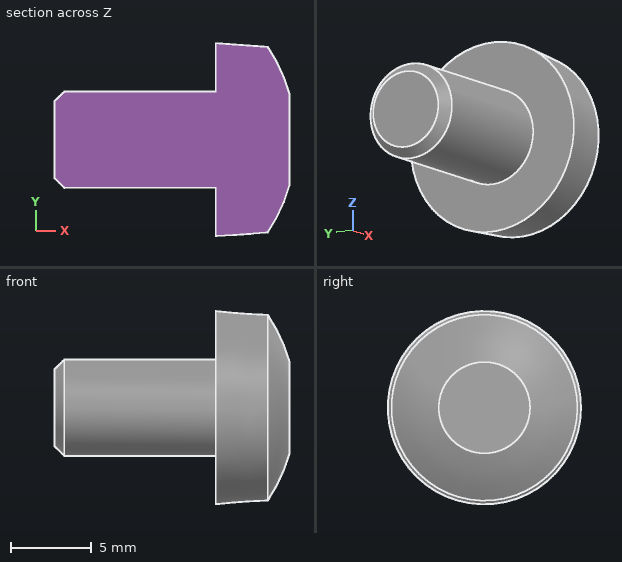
import cadquery as cq
import math

total_length = 14.6
shank_length = 10.0
shank_diameter = 6.0
head_diameter = 12.0

tip_chamfer_length = 0.63
tip_diameter = 4.79

rim_length = 3.24
rim_end_diameter = 11.53
crown_diameter = 5.66

shank_radius = shank_diameter / 2
head_radius = head_diameter / 2
tip_radius = tip_diameter / 2
rim_end_radius = rim_end_diameter / 2
crown_radius = crown_diameter / 2
rim_end_x = shank_length + rim_length


def dome_midpoint():
    """Middle of the arc from rim to crown on a sphere centred on the screw axis."""
    run = total_length - rim_end_x
    center_x = (rim_end_x + total_length) / 2 - (rim_end_radius**2 - crown_radius**2) / (2 * run)
    dome_radius = math.hypot(rim_end_x - center_x, rim_end_radius)
    rim_angle = math.atan2(rim_end_radius, rim_end_x - center_x)
    crown_angle = math.atan2(crown_radius, total_length - center_x)
    middle_angle = (rim_angle + crown_angle) / 2
    return center_x + dome_radius * math.cos(middle_angle), dome_radius * math.sin(middle_angle)


profile = (
    cq.Workplane("XY")
    .lineTo(0, tip_radius)
    .lineTo(tip_chamfer_length, shank_radius)
    .lineTo(shank_length, shank_radius)
    .lineTo(shank_length, head_radius)
    .lineTo(rim_end_x, rim_end_radius)
    .threePointArc(dome_midpoint(), (total_length, crown_radius))
    .lineTo(total_length, 0)
    .close()
)

result = profile.revolve(360, (0, 0, 0), (1, 0, 0))